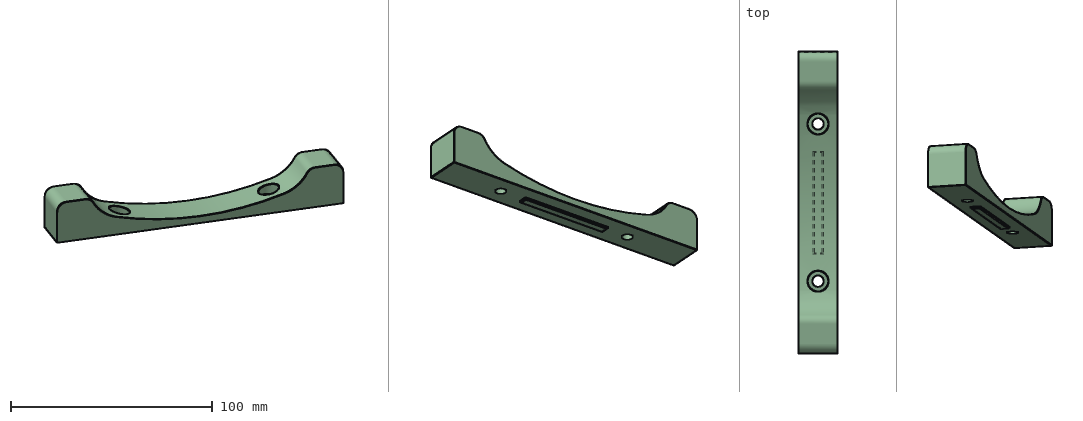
import cadquery as cq
import math

length = 150.0
width = 19.8
body_height = 21.9
outer_corner_radius = 5.0

saddle_thickness = 4.0
saddle_radius = 165.0
saddle_half_span = 43.6
side_radius = 20.0
shoulder_radius = 5.0

hole_offset = 39.0
hole_diameter = 5.5
counterbore_diameter = 10.0
counterbore_floor = 4.0

edge_bevel = 0.3

rib_length = 51.0
rib_width = 5.1
rib_height = 1.0
rib_chamfer = 0.6


def point_on_arc(center, radius, angle):
    """Point at an angle measured from straight down, positive toward +Y."""
    return (center[0] + radius * math.sin(angle), center[1] - radius * math.cos(angle))


def mirrored(point):
    return (-point[0], point[1])


def make_body():
    saddle_center = (0, saddle_thickness + saddle_radius)
    join_angle = math.asin(saddle_half_span / saddle_radius)
    join = point_on_arc(saddle_center, saddle_radius, join_angle)
    side_center = point_on_arc(saddle_center, saddle_radius - side_radius, join_angle)

    shoulder_z = body_height - shoulder_radius
    center_distance = side_radius + shoulder_radius
    end_angle = math.acos((side_center[1] - shoulder_z) / center_distance)
    shoulder_center = point_on_arc(side_center, center_distance, end_angle)

    side_middle = point_on_arc(side_center, side_radius, (join_angle + end_angle) / 2)
    side_end = point_on_arc(side_center, side_radius, end_angle)
    shoulder_middle = point_on_arc(shoulder_center, -shoulder_radius, end_angle / 2)
    shoulder_end = (shoulder_center[0], body_height)

    half_length = length / 2
    profile = (
        cq.Workplane("YZ")
        .moveTo(-half_length, 0)
        .lineTo(half_length, 0)
        .lineTo(half_length, body_height)
        .lineTo(*shoulder_end)
        .threePointArc(shoulder_middle, side_end)
        .threePointArc(side_middle, join)
        .threePointArc((0, saddle_thickness), mirrored(join))
        .threePointArc(mirrored(side_middle), mirrored(side_end))
        .threePointArc(mirrored(shoulder_middle), mirrored(shoulder_end))
        .lineTo(-half_length, body_height)
        .close()
    )
    body = profile.extrude(width / 2, both=True)
    outer_corners = body.faces("<Y or >Y").edges(">Z")
    body = outer_corners.fillet(outer_corner_radius)
    return body.faces("<X or >X or <Z").edges().chamfer(edge_bevel)


def make_rib():
    rib = cq.Workplane("XY").rect(rib_width, rib_length).extrude(-rib_height)
    return rib.faces("<Z").chamfer(rib_chamfer)


def cut_screw_holes(body):
    hole_centers = [(0, -hole_offset), (0, hole_offset)]
    holes = (
        cq.Workplane("XY")
        .pushPoints(hole_centers)
        .circle(hole_diameter / 2)
        .extrude(body_height)
    )
    counterbores = (
        cq.Workplane("XY")
        .workplane(offset=counterbore_floor)
        .pushPoints(hole_centers)
        .circle(counterbore_diameter / 2)
        .extrude(body_height)
    )
    rim_zone_width = (counterbore_diameter + width) / 2
    drilled = body.cut(holes).cut(counterbores)
    rim_zone = cq.selectors.BoxSelector(
        (-rim_zone_width / 2, -length / 2, counterbore_floor + edge_bevel),
        (rim_zone_width / 2, length / 2, body_height),
        boundingbox=True,
    )
    return drilled.edges(rim_zone).chamfer(edge_bevel)


result = cut_screw_holes(make_body()).union(make_rib())